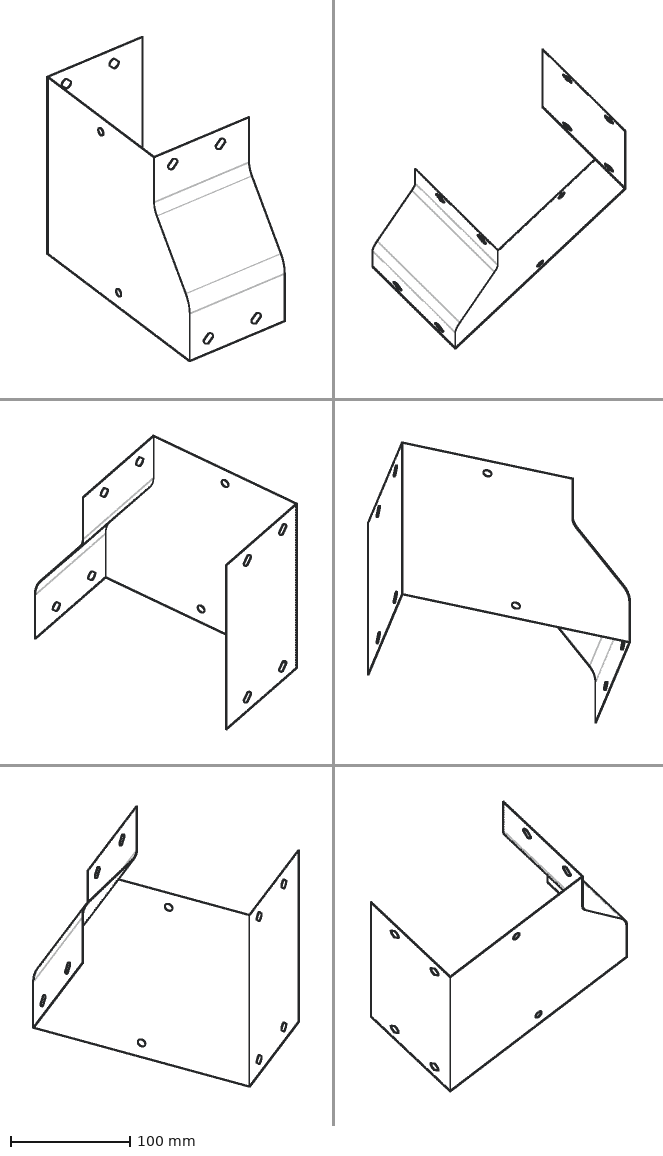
import cadquery as cq

length = 200
depth = 100
height = 180
sheet = 0.75

top_length = 150
slope_bottom = 58.2
slope_top = 128
convex_radius = 30
concave_radius = 20

hole_diameter = 7.0
edge_margin = 15.0
slot_width = 7.0
slot_diameter = 10
slot_angle = 45
slot_first_y = 20
slot_spacing = 50
slot_rows = (edge_margin, height - edge_margin)
slot_columns = (slot_first_y, slot_first_y + slot_spacing)


def make_envelope():
    """Solid block with the rounded, stepped outline of the front plate."""
    outline = (
        cq.Workplane("XZ")
        .polyline([
            (0, 0),
            (length, 0),
            (length, slope_bottom),
            (top_length, slope_top),
            (top_length, height),
            (0, height),
        ])
        .close()
    )
    block = outline.extrude(-depth)
    block = round_bend(block, length, slope_bottom, convex_radius)
    return round_bend(block, top_length, slope_top, concave_radius)


def round_bend(block, x, z, radius):
    """Round the edge that runs along Y through the given X and Z."""
    bend = cq.selectors.NearestToPointSelector((x, depth / 2, z))
    return block.edges(bend).fillet(radius)


def make_shell():
    """Front plate with a wall on each side, open at the back, top and bottom."""
    return make_envelope().faces(">Y or >Z or <Z").shell(-sheet)


def make_front_holes():
    """Round holes through the front plate, midway along its top and bottom edges."""
    centres = [
        (top_length / 2, height - edge_margin),
        (length / 2, edge_margin),
    ]
    return cq.Workplane("XZ").pushPoints(centres).circle(hole_diameter / 2).extrude(-2 * sheet)


def make_wall_slots(start_x, end_x, angle):
    """Four slanted slots cut along X between the two given positions.

    Each slot is a round hole narrowed by two parallel flats.
    """
    centres = [(y, z) for y in slot_columns for z in slot_rows]
    plane = cq.Workplane("YZ", origin=(start_x, 0, 0)).pushPoints(centres)
    cut_length = end_x - start_x
    rounds = plane.circle(slot_diameter / 2).extrude(cut_length)
    strips = plane.slot2D(2 * slot_diameter, slot_width, angle).extrude(cut_length)
    return rounds.intersect(strips)


middle_x = top_length / 2
result = (
    make_shell()
    .cut(make_front_holes())
    .cut(make_wall_slots(0, middle_x, -slot_angle))
    .cut(make_wall_slots(middle_x, length, slot_angle))
)